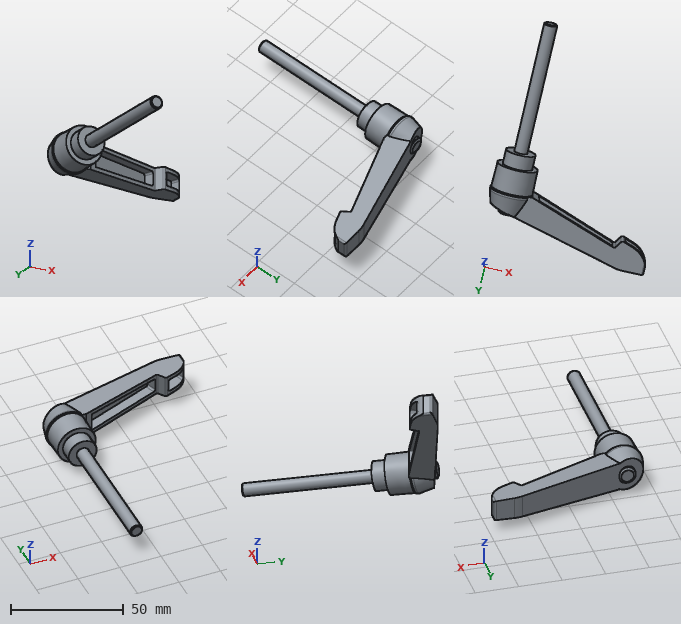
import cadquery as cq
import math


STUD_DIA = 6.0
STUD_LENGTH = 60.0
STUD_CHAMFER = 0.5
COLLAR_DIA = 13.5
COLLAR_HEIGHT = 6.5
HUB_BOTTOM_RADIUS = 9.15
HUB_TOP_RADIUS = 9.4
HUB_TOP_Y = 17.6

RIM_RADIUS = 9.745
RIM_CHAMFER_HEIGHT = 0.6
RIM_BAND_HEIGHT = 1.0
RIM_BOTTOM_Y = HUB_TOP_Y + RIM_CHAMFER_HEIGHT
RIM_TOP_Y = RIM_BOTTOM_Y + RIM_BAND_HEIGHT
CAP_HALF_ANGLE = math.radians(14.5)

SCREW_RADIUS = 4.0
SCREW_TOP_RADIUS = 2.9
SCREW_CHAMFER_HEIGHT = 0.75
SCREW_TOP_Y = 28.7

ARM_TOP_Y = 41.55
ARM_END_X = 65.005
TOP_SLOPE = math.tan(math.radians(15.0))
TOP_Y_ON_AXIS = 27.15
UNDERSIDE_ANGLE = math.radians(19.8)
UNDERSIDE_SLOPE = math.tan(UNDERSIDE_ANGLE)
NOTCH_X = 49.8
LIP_X = 52.45
LIP_Y = 28.25
NOTCH_FILLET = 0.5
LIP_FILLET = 1.0
TOP_BEND_RADIUS = 15.0
TIP_TOP_FILLET = 1.0
TIP_ARC_START_X = 58.0
TIP_ARC_RADIUS = 11.4

ARM_HALF_WIDTH_ON_AXIS = 6.8
ARM_HALF_WIDTH_AT_TIP = 4.9
TIP_SIDE_FILLET = 0.9

POCKET_WALL = 1.95
POCKET_CORNER_RADIUS = 0.9
MAIN_POCKET_START_X = 12.6
MAIN_POCKET_END_X = 48.8
MAIN_POCKET_DEPTH = 5.0
MAIN_POCKET_START_CORNER_RADIUS = 0.3
TIP_POCKET_START_X = 54.0
TIP_POCKET_END_X = 64.0
TIP_POCKET_DEPTH = 6.5
CUT_CLEARANCE = 1.0


def top_plane_y(x):
    """Height of the sloping plane shared by the cap and the arm."""
    return TOP_Y_ON_AXIS + TOP_SLOPE * x


def arm_half_width(x):
    """Half thickness of the tapered arm at a distance x from the stud axis."""
    taper = (ARM_HALF_WIDTH_ON_AXIS - ARM_HALF_WIDTH_AT_TIP) / ARM_END_X
    return ARM_HALF_WIDTH_ON_AXIS - taper * x


def underside_y(x):
    """Height of the arm's underside between the hub and the notch."""
    return HUB_TOP_Y + UNDERSIDE_SLOPE * (x - HUB_TOP_RADIUS)


def lip_underside_y(x):
    """Height of the underside of the tip, beyond the notch."""
    return LIP_Y + UNDERSIDE_SLOPE * (x - LIP_X)


def tip_arc_end_y():
    """Height where the arc tangent to the tip's underside meets the flat end of the arm."""
    centre_x = TIP_ARC_START_X - TIP_ARC_RADIUS * math.sin(UNDERSIDE_ANGLE)
    centre_y = lip_underside_y(TIP_ARC_START_X) + TIP_ARC_RADIUS * math.cos(UNDERSIDE_ANGLE)
    return centre_y - math.sqrt(TIP_ARC_RADIUS**2 - (ARM_END_X - centre_x) ** 2)


def revolve_about_stud(points):
    """Solid of revolution about Y from (radius, y) points."""
    return cq.Workplane("XY").polyline(points).close().revolve(360, (0, 0, 0), (0, 1, 0))


def fillet_edge_near(body, direction, point, radius):
    """Fillet the one edge parallel to the direction that lies closest to the point."""
    edge = body.edges(direction).edges(cq.selectors.NearestToPointSelector(point))
    return edge.fillet(radius)


def make_stud_and_hub():
    stud_radius = STUD_DIA / 2
    collar_radius = COLLAR_DIA / 2
    return revolve_about_stud([
        (0, -STUD_LENGTH),
        (stud_radius - STUD_CHAMFER, -STUD_LENGTH),
        (stud_radius, -STUD_LENGTH + STUD_CHAMFER),
        (stud_radius, 0),
        (collar_radius, 0),
        (collar_radius, COLLAR_HEIGHT),
        (HUB_BOTTOM_RADIUS, COLLAR_HEIGHT),
        (HUB_TOP_RADIUS, HUB_TOP_Y),
        (0, HUB_TOP_Y),
    ])


def make_cap():
    """Rimmed cone whose top is cut off by the sloping plane of the arm."""
    cone_top_y = ARM_TOP_Y
    cone_top_radius = RIM_RADIUS - (cone_top_y - RIM_TOP_Y) * math.tan(CAP_HALF_ANGLE)
    cone = revolve_about_stud([
        (0, HUB_TOP_Y),
        (HUB_TOP_RADIUS, HUB_TOP_Y),
        (RIM_RADIUS, RIM_BOTTOM_Y),
        (RIM_RADIUS, RIM_TOP_Y),
        (cone_top_radius, cone_top_y),
        (0, cone_top_y),
    ])
    reach = 2 * RIM_RADIUS
    below_top_plane = (
        cq.Workplane("XY")
        .polyline([
            (-reach, 0),
            (reach, 0),
            (reach, top_plane_y(reach)),
            (-reach, top_plane_y(-reach)),
        ])
        .close()
        .extrude(reach, both=True)
    )
    return cone.intersect(below_top_plane)


def make_screw_head():
    return revolve_about_stud([
        (0, HUB_TOP_Y),
        (SCREW_RADIUS, HUB_TOP_Y),
        (SCREW_RADIUS, SCREW_TOP_Y - SCREW_CHAMFER_HEIGHT),
        (SCREW_TOP_RADIUS, SCREW_TOP_Y),
        (0, SCREW_TOP_Y),
    ])


def make_arm_profile():
    """Side outline of the arm, extruded wider than the arm is thick."""
    notch = (NOTCH_X, underside_y(NOTCH_X))
    lip = (LIP_X, LIP_Y)
    arc_start = (TIP_ARC_START_X, lip_underside_y(TIP_ARC_START_X))
    arc_end = (ARM_END_X, tip_arc_end_y())
    tip_top = (ARM_END_X, ARM_TOP_Y)
    top_bend = ((ARM_TOP_Y - TOP_Y_ON_AXIS) / TOP_SLOPE, ARM_TOP_Y)
    body = (
        cq.Workplane("XY")
        .moveTo(0, HUB_TOP_Y)
        .lineTo(HUB_TOP_RADIUS, HUB_TOP_Y)
        .lineTo(*notch)
        .lineTo(*lip)
        .lineTo(*arc_start)
        .tangentArcPoint(arc_end, relative=False)
        .lineTo(*tip_top)
        .lineTo(*top_bend)
        .lineTo(0, TOP_Y_ON_AXIS)
        .close()
        .extrude(2 * ARM_HALF_WIDTH_ON_AXIS, both=True)
    )
    rounded_corners = [
        (notch, NOTCH_FILLET),
        (lip, LIP_FILLET),
        (tip_top, TIP_TOP_FILLET),
        (top_bend, TOP_BEND_RADIUS),
    ]
    for (x, y), radius in rounded_corners:
        body = fillet_edge_near(body, "|Z", (x, y, 0), radius)
    return body


def make_arm_plan():
    """Tapered outline of the arm along Y, with rounded corners at the tip."""
    half_width = arm_half_width(ARM_END_X)
    plan = (
        cq.Workplane("XZ")
        .polyline([
            (0, -ARM_HALF_WIDTH_ON_AXIS),
            (ARM_END_X, -half_width),
            (ARM_END_X, half_width),
            (0, ARM_HALF_WIDTH_ON_AXIS),
        ])
        .close()
        .extrude(-2 * ARM_TOP_Y)
    )
    return plan.edges("|Y").edges(">X").fillet(TIP_SIDE_FILLET)


def make_pocket(start_x, end_x, surface_y, depth, start_corner_radius):
    """Tapered pocket cutter, square to the underside that surface_y describes."""
    cos_angle = math.cos(UNDERSIDE_ANGLE)
    sin_angle = math.sin(UNDERSIDE_ANGLE)
    length = (end_x - start_x) / cos_angle
    start_half_width = arm_half_width(start_x) - POCKET_WALL
    end_half_width = arm_half_width(end_x) - POCKET_WALL
    plane = cq.Plane(
        origin=(start_x, surface_y(start_x), 0),
        xDir=(cos_angle, sin_angle, 0),
        normal=(-sin_angle, cos_angle, 0),
    )
    cutter = (
        cq.Workplane(plane)
        .workplane(offset=-CUT_CLEARANCE)
        .polyline([
            (0, -start_half_width),
            (length, -end_half_width),
            (length, end_half_width),
            (0, start_half_width),
        ])
        .close()
        .extrude(CUT_CLEARANCE + depth)
    )
    upright_edges = cq.selectors.ParallelDirSelector(plane.zDir)
    cutter = cutter.edges(upright_edges).edges(">X").fillet(POCKET_CORNER_RADIUS)
    return cutter.edges(upright_edges).edges("<X").fillet(start_corner_radius)


def make_arm():
    main_pocket = make_pocket(
        MAIN_POCKET_START_X,
        MAIN_POCKET_END_X,
        underside_y,
        MAIN_POCKET_DEPTH,
        MAIN_POCKET_START_CORNER_RADIUS,
    )
    tip_pocket = make_pocket(
        TIP_POCKET_START_X,
        TIP_POCKET_END_X,
        lip_underside_y,
        TIP_POCKET_DEPTH,
        POCKET_CORNER_RADIUS,
    )
    return make_arm_profile().intersect(make_arm_plan()).cut(main_pocket).cut(tip_pocket)


result = make_stud_and_hub().union(make_cap()).union(make_arm()).union(make_screw_head())